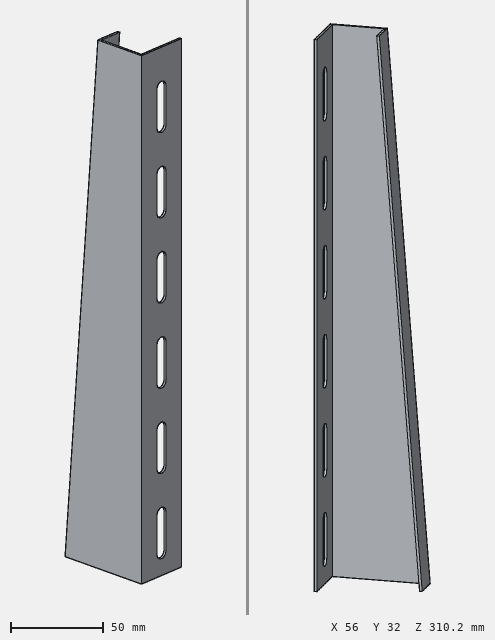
import cadquery as cq
import math

height = 310.0
bottom_width = 56.0
top_width = 32.0
sheet = 1.5

slotted_flange_depth = 32.0
plain_flange_depth = 16.0
fold_depth = 2 * sheet

slot_count = 6
slot_pitch = 50.0
slot_length = 30.0
slot_width = 7.0
first_slot_start = 10.0
slot_center_depth = slotted_flange_depth / 2

lean = math.atan((bottom_width - top_width) / height)


def make_web():
    """Tapered sheet with its outer face at Y = 0."""
    outline = [(0, 0), (-bottom_width, 0), (-top_width, height), (0, height)]
    return cq.Workplane("XZ").polyline(outline).close().extrude(-sheet)


def make_fold_strip():
    """Strip along the sloping edge, joining the web to the plain flange."""
    strip_width = sheet / math.cos(lean)
    outline = [
        (-bottom_width, 0),
        (-bottom_width + strip_width, 0),
        (-top_width + strip_width, height),
        (-top_width, height),
    ]
    return cq.Workplane("XZ").polyline(outline).close().extrude(-fold_depth)


def make_plain_flange():
    """Flange beyond the fold strip, its ends square to the sloping edge and just covering the strip's ends."""
    end_overrun = sheet * math.tan(lean)
    length = height / math.cos(lean) + end_overrun
    flange = cq.Workplane("XY").box(sheet, plain_flange_depth - fold_depth, length, centered=False)
    flange = flange.rotate((0, 0, 0), (0, 1, 0), math.degrees(lean))
    return flange.translate((-bottom_width, fold_depth, 0))


def make_slots():
    """Column of round-ended slots through the slotted flange."""
    first_center = first_slot_start + slot_length / 2
    centers = [(slot_center_depth, first_center + index * slot_pitch) for index in range(slot_count)]
    return (
        cq.Workplane("YZ")
        .pushPoints(centers)
        .slot2D(slot_length, slot_width, 90)
        .extrude(-sheet)
    )


def make_slotted_flange():
    """Upright flange with its outer face at X = 0."""
    flange = cq.Workplane("XY").box(sheet, slotted_flange_depth, height, centered=False)
    return flange.translate((-sheet, 0, 0)).cut(make_slots())


result = make_web().union(make_slotted_flange()).union(make_fold_strip()).union(make_plain_flange())